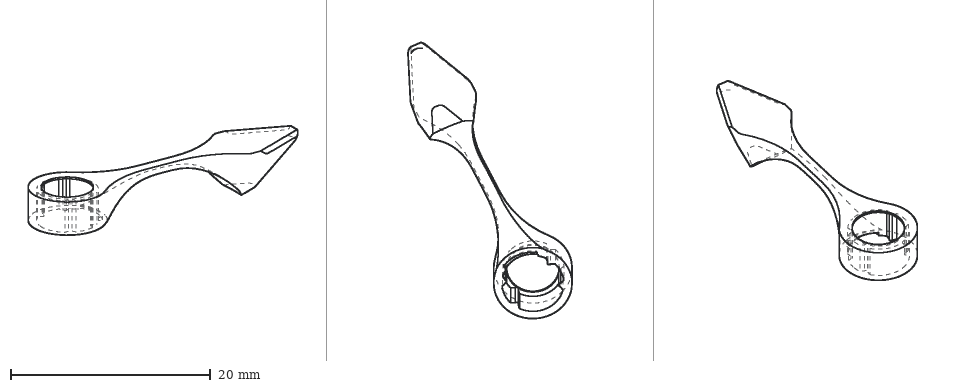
import cadquery as cq
import math

RING_RADIUS = 3.925
RING_HEIGHT = 3.6
LIP_RADIUS = 2.625
LIP_HEIGHT = 0.2
BORE_RADIUS = 3.1

RIB_ANGLES = (29, 151, 209, 331)
RIB_TIP_RADIUS = 0.17
RIB_REACH = 2.6
RIB_BASE_WIDTH = 1.25

NOTCH_HALF_WIDTH = 1.8
NOTCH_HEIGHT = 0.35
NOTCH_OUTER_RADIUS = 3.5

ARM_HALF_WIDTH = 0.625
ARM_THICKNESS = 0.85
BLEND_RADIUS = 10.0
ARM_STRAIGHT_LENGTH = 4.3

HEAD_DEPTH = 5.0
HEAD_HALF_WIDTH = 3.18
TIP_Y = 27.485
TIP_HEIGHT = 1.02
NOSE_BOTTOM_Y = 22.6
KITE_HALF_ANGLE = 22.6
KITE_TIP_HALF_WIDTH = 0.9
BEVEL_DEPTH = 0.5
BEVEL_ANGLE = 30.0
FLANK_ANGLE = 26.0
NOSE_EDGE_RADIUS = 0.65
SHOULDER_EDGE_RADIUS = 0.8

ARCH_RADIUS = 9.4
ARCH_FLAT_LENGTH = 1.6
ARCH_CENTER_Y = 11.45

BLEND_CENTER_X = ARM_HALF_WIDTH + BLEND_RADIUS
ARM_START_Y = math.sqrt((RING_RADIUS + BLEND_RADIUS) ** 2 - BLEND_CENTER_X**2)
ARM_END_Y = ARM_START_Y + ARM_STRAIGHT_LENGTH
HEAD_CORNER_Y = ARM_END_Y + math.sqrt(BLEND_RADIUS**2 - (BLEND_CENTER_X - HEAD_HALF_WIDTH) ** 2)
CUT_MARGIN = 1.0
CUTTER_SIZE = 40.0
EDGE_PICK_MARGIN = 0.01
SHOULDER_START_Y = ARM_END_Y + 4.0


def blend_x(offset_y):
    """Half width of the arm at a distance along Y past the end of its straight part."""
    return BLEND_CENTER_X - math.sqrt(BLEND_RADIUS**2 - offset_y**2)


def arm_and_head_block():
    """Full-depth prism of the arm and head, before any of the sloping faces are cut."""
    tangent_scale = RING_RADIUS / (RING_RADIUS + BLEND_RADIUS)
    ring_x = BLEND_CENTER_X * tangent_scale
    ring_y = ARM_START_Y * tangent_scale
    ring_mid_offset = (ARM_START_Y - ring_y) / 2
    head_mid_offset = (HEAD_CORNER_Y - ARM_END_Y) / 2
    half = (
        cq.Workplane("XY")
        .moveTo(0, 0)
        .lineTo(ring_x, ring_y)
        .threePointArc(
            (blend_x(ring_mid_offset), ARM_START_Y - ring_mid_offset),
            (ARM_HALF_WIDTH, ARM_START_Y),
        )
        .lineTo(ARM_HALF_WIDTH, ARM_END_Y)
        .threePointArc(
            (blend_x(head_mid_offset), ARM_END_Y + head_mid_offset),
            (HEAD_HALF_WIDTH, HEAD_CORNER_Y),
        )
        .lineTo(HEAD_HALF_WIDTH, TIP_Y)
        .lineTo(0, TIP_Y)
        .close()
        .extrude(-HEAD_DEPTH)
    )
    return half.union(half.mirror("YZ"))


def flank_cutter(vertical_sign, lean_degrees):
    """Block beside the +X kite edge; +1 leans its face inward above the edge, -1 below it."""
    turn = math.radians(KITE_HALF_ANGLE)
    lean = math.radians(lean_degrees)
    along_edge = cq.Vector(-math.sin(turn), math.cos(turn), 0)
    outward = cq.Vector(math.cos(turn), math.sin(turn), 0)
    normal = outward * math.cos(lean) + cq.Vector(0, 0, vertical_sign * math.sin(lean))
    plane = cq.Plane((KITE_TIP_HALF_WIDTH, TIP_Y, -BEVEL_DEPTH), along_edge, normal)
    return cq.Workplane(plane).rect(CUTTER_SIZE, CUTTER_SIZE).extrude(CUTTER_SIZE)


def cut_both_sides(body, cutter):
    return body.cut(cutter).cut(cutter.mirror("YZ"))


def nose_cutter():
    """Wedge under the tip that leaves the sloping nose."""
    return (
        cq.Workplane("YZ")
        .moveTo(TIP_Y, -TIP_HEIGHT)
        .lineTo(NOSE_BOTTOM_Y, -HEAD_DEPTH)
        .lineTo(TIP_Y, -HEAD_DEPTH)
        .close()
        .extrude(RING_RADIUS, both=True)
    )


def arch_cutter():
    """Hollow under the arm, swept round the ring axis, with the floor level of the ring inside it."""
    center_z = -ARM_THICKNESS - ARCH_RADIUS
    near_y = ARCH_CENTER_Y - ARCH_FLAT_LENGTH / 2
    far_y = ARCH_CENTER_Y + ARCH_FLAT_LENGTH / 2
    bottom_z = -HEAD_DEPTH - CUT_MARGIN

    near_angle = math.acos((-RING_HEIGHT - center_z) / ARCH_RADIUS)
    far_angle = math.acos((bottom_z - center_z) / ARCH_RADIUS)

    def arch_point(start_y, angle):
        return (start_y + ARCH_RADIUS * math.sin(angle), center_z + ARCH_RADIUS * math.cos(angle))

    return (
        cq.Workplane("XZ")
        .moveTo(0, bottom_z)
        .lineTo(0, -RING_HEIGHT)
        .lineTo(*arch_point(near_y, -near_angle))
        .threePointArc(arch_point(near_y, -near_angle / 2), (near_y, -ARM_THICKNESS))
        .lineTo(far_y, -ARM_THICKNESS)
        .threePointArc(arch_point(far_y, far_angle / 2), arch_point(far_y, far_angle))
        .close()
        .revolve(360, (0, 0, 0), (0, 1, 0))
    )


def round_side_edges(head, y_min, y_max, radius):
    """Round the sharp edges of both head sides whose centers lie between two places along Y."""
    side_edges = None
    for side in (-1, 1):
        corner_inside = (side * EDGE_PICK_MARGIN, y_min, -HEAD_DEPTH + EDGE_PICK_MARGIN)
        corner_outside = (side * RING_RADIUS, y_max, -EDGE_PICK_MARGIN)
        edges = head.edges(cq.selectors.BoxSelector(corner_inside, corner_outside))
        side_edges = edges if side_edges is None else side_edges.add(edges)
    return side_edges.fillet(radius)


def rib(angle):
    """Gripping rib on the bore wall, under the lip, with a rounded crest."""
    tip_x = RIB_REACH + RIB_TIP_RADIUS
    base_x = BORE_RADIUS
    half = RIB_BASE_WIDTH / 2
    return (
        cq.Workplane("XY", origin=(0, 0, -RING_HEIGHT))
        .moveTo(base_x, -half)
        .lineTo(tip_x, -RIB_TIP_RADIUS)
        .threePointArc((RIB_REACH, 0), (tip_x, RIB_TIP_RADIUS))
        .lineTo(base_x, half)
        .close()
        .extrude(RING_HEIGHT - LIP_HEIGHT)
        .rotate((0, 0, 0), (0, 0, 1), angle)
    )


def notch():
    """Shallow recess in the ring underside, open to the bore on the arm side."""
    underside = cq.Workplane("XY", origin=(0, 0, -RING_HEIGHT))
    disc = underside.circle(NOTCH_OUTER_RADIUS).extrude(NOTCH_HEIGHT)
    strip = (
        underside.center(0, RING_RADIUS / 2)
        .rect(2 * NOTCH_HALF_WIDTH, RING_RADIUS)
        .extrude(NOTCH_HEIGHT)
    )
    return disc.intersect(strip)


def arrow_head_and_arm():
    body = cut_both_sides(arm_and_head_block(), flank_cutter(-1, FLANK_ANGLE))
    body = body.cut(nose_cutter())
    body = round_side_edges(body, NOSE_BOTTOM_Y, TIP_Y + CUT_MARGIN, NOSE_EDGE_RADIUS)
    body = round_side_edges(body, SHOULDER_START_Y, NOSE_BOTTOM_Y, SHOULDER_EDGE_RADIUS)
    body = cut_both_sides(body, flank_cutter(1, BEVEL_ANGLE))
    return body.cut(arch_cutter())


ring = cq.Workplane("XY").circle(RING_RADIUS).extrude(-RING_HEIGHT)
mouth = cq.Workplane("XY").circle(LIP_RADIUS).extrude(-RING_HEIGHT)
bore = cq.Workplane("XY", origin=(0, 0, -LIP_HEIGHT)).circle(BORE_RADIUS).extrude(LIP_HEIGHT - RING_HEIGHT)

result = arrow_head_and_arm().union(ring).cut(mouth).cut(bore)
for rib_angle in RIB_ANGLES:
    result = result.union(rib(rib_angle))
result = result.cut(notch())